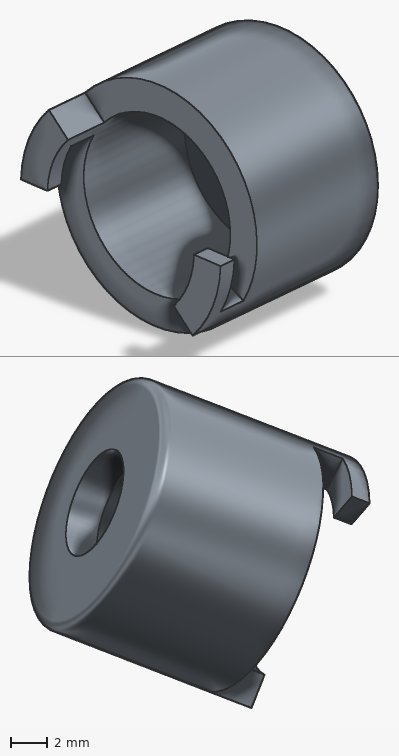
import cadquery as cq
import math

outer_radius = 7.5
bore_radius = 5.5
hole_radius = 3.15
total_length = 13.3
leg_length = 3.0
floor_thickness = 2.0
rim_round = 0.5

finger_thickness = 1.14
finger_end_angle = 1.8
leg_inner_angle = 30.2
leg_outer_angle = 44.0
hook_count = 2
hook_pitch = 360 / hook_count

radial_clearance = 1.5
angular_overlap = 10.0


def cylinder(radius, start_y, end_y):
    """Solid cylinder on the Y axis between two Y positions."""
    return cq.Workplane("XZ", origin=(0, start_y, 0)).circle(radius).extrude(start_y - end_y)


def wall_cutter(start_angle, end_angle, start_y):
    """Ring sector that removes the wall from start_y up to the cup mouth."""
    inner_radius = bore_radius - radial_clearance
    cutter_radius = outer_radius + radial_clearance
    middle_angle = (start_angle + end_angle) / 2

    def point(radius, angle):
        radians = math.radians(angle)
        return radius * math.cos(radians), -radius * math.sin(radians)

    return (
        cq.Workplane("XZ", origin=(0, start_y, 0))
        .moveTo(*point(inner_radius, start_angle))
        .lineTo(*point(cutter_radius, start_angle))
        .threePointArc(point(cutter_radius, middle_angle), point(cutter_radius, end_angle))
        .lineTo(*point(inner_radius, end_angle))
        .threePointArc(point(inner_radius, middle_angle), point(inner_radius, start_angle))
        .close()
        .extrude(start_y - leg_length)
    )


def make_cup():
    """Full-length cup with a rounded closed end and a central through hole."""
    cup = cylinder(outer_radius, 0, total_length)
    cup = cup.faces(">Y").edges().fillet(rim_round)
    cup = cup.cut(cylinder(bore_radius, 0, total_length - floor_thickness))
    return cup.cut(cylinder(hole_radius, 0, total_length))


result = make_cup()
for index in range(hook_count):
    turn = index * hook_pitch
    result = result.cut(wall_cutter(turn + leg_outer_angle, turn + hook_pitch + finger_end_angle, 0))
    gap_start = finger_end_angle - angular_overlap
    result = result.cut(wall_cutter(turn + gap_start, turn + leg_inner_angle, finger_thickness))